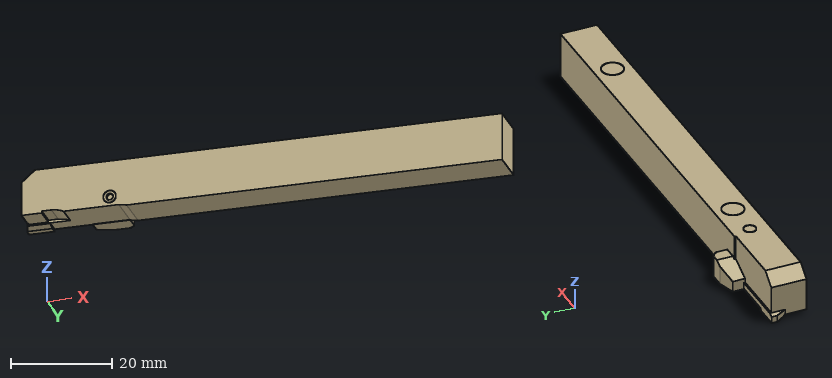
import cadquery as cq

total_length = 100.0
shank_width = 8.0
shank_height = 10.0

nose_x = 0.8
nose_bevel_length = 2.8
nose_bevel_height = 2.4
relief_height = 0.3
relief_end_x = 20.9
relief_ramp_length = 1.6
back_recess_depth = 0.3
back_recess_end_x = 17.6

insert_length = 5.3
insert_width = 3.3
insert_drop = 0.2
insert_top_z = 1.7
insert_top_bevel = 0.4
edge_width = 1.2
flank_rise = 0.6
flat_bottom_width = 1.6

clearance_height = 0.5
clearance_length = 5.0
scallop_height = 0.9
scallop_flat_end_x = 7.0
scallop_end_x = 9.5
scallop_mid = (8.4, 0.7)

block_start_x = 13.2
block_length = 7.8
block_depth = 3.5
block_bottom_z = 0.2
block_top_z = 5.0
block_nose_z = 2.6
block_slope_length = 5.1
block_nose_depth = 2.4
block_taper_length = 3.7
block_corner = 1.0

screw_x = 19.0
screw_z = 2.3
screw_diameter = 2.6
socket_diameter = 1.4
socket_depth = 0.6
plug_y = shank_width / 2
plug_diameter = 4.6
plug_xs = (27.0, 84.0)
face_recess = 0.1


def prism_along_y(outline, y_start, y_end):
    """Extrude an XZ outline from y_start to y_end."""
    plane = cq.Workplane("XZ", origin=(0, y_start, 0))
    return plane.polyline(outline).close().extrude(y_start - y_end)


def prism_along_z(outline, z_start, z_end):
    """Extrude an XY outline from z_start to z_end."""
    plane = cq.Workplane("XY", origin=(0, 0, z_start))
    return plane.polyline(outline).close().extrude(z_end - z_start)


def make_shank():
    outline = [
        (nose_x, relief_height),
        (relief_end_x, relief_height),
        (relief_end_x + relief_ramp_length, 0),
        (total_length, 0),
        (total_length, shank_height),
        (nose_x + nose_bevel_length, shank_height),
        (nose_x, shank_height - nose_bevel_height),
    ]
    return prism_along_y(outline, 0, shank_width)


def make_back_recess():
    """Shallow step along the back of the head, above the insert."""
    size = (back_recess_end_x, back_recess_depth, shank_height - insert_top_z)
    corner = (0, shank_width - back_recess_depth, insert_top_z)
    return cq.Workplane("XY").box(*size, centered=False).translate(corner)


def make_head_clearance():
    """Scalloped relief under the head, in front of the insert."""
    return (
        cq.Workplane("XZ")
        .moveTo(0, 0)
        .lineTo(0, clearance_height)
        .lineTo(clearance_length, clearance_height)
        .lineTo(clearance_length, scallop_height)
        .lineTo(scallop_flat_end_x, scallop_height)
        .threePointArc(scallop_mid, (scallop_end_x, relief_height))
        .lineTo(scallop_end_x, 0)
        .close()
        .extrude(insert_width - shank_width)
    )


def make_insert():
    """Insert body: the common volume of its side, plan and end outlines."""
    front_y = shank_width - insert_width
    side = prism_along_y(
        [
            (0, -insert_drop),
            (insert_length, -insert_drop),
            (insert_length, insert_top_z),
            (nose_x, insert_top_z),
            (0, insert_top_z - insert_top_bevel),
        ],
        front_y,
        shank_width,
    )
    plan = prism_along_z(
        [
            (0, shank_width),
            (0, shank_width - edge_width),
            (nose_x, front_y),
            (insert_length, front_y),
            (insert_length, shank_width),
        ],
        -insert_drop,
        insert_top_z,
    )
    end = (
        cq.Workplane("YZ")
        .polyline(
            [
                (shank_width, -insert_drop),
                (shank_width - flat_bottom_width, -insert_drop),
                (front_y, flank_rise - insert_drop),
                (front_y, insert_top_z),
                (shank_width, insert_top_z),
            ]
        )
        .close()
        .extrude(insert_length)
    )
    return side.intersect(plan).intersect(end)


def make_block():
    """Nozzle block: sloped front top, tapered back and bevelled rear corner."""
    end_x = block_start_x + block_length
    root_y = shank_width - back_recess_depth
    back_y = shank_width + block_depth
    plan = prism_along_z(
        [
            (block_start_x, root_y),
            (end_x, root_y),
            (end_x, back_y - block_corner),
            (end_x - block_corner, back_y),
            (block_start_x + block_taper_length, back_y),
            (block_start_x, shank_width + block_nose_depth),
        ],
        block_bottom_z,
        block_top_z,
    )
    side = prism_along_y(
        [
            (block_start_x, block_bottom_z),
            (end_x, block_bottom_z),
            (end_x, block_top_z),
            (block_start_x + block_slope_length, block_top_z),
            (block_start_x, block_nose_z),
        ],
        root_y,
        back_y,
    )
    return plan.intersect(side)


def top_recess(x, diameter):
    """Round recess in the top face, on the shank centreline."""
    plane = cq.Workplane("XY", origin=(x, plug_y, shank_height))
    return plane.circle(diameter / 2).extrude(-face_recess)


def front_recess(diameter, depth):
    """Round recess in the front face at the screw position."""
    plane = cq.Workplane("XZ", origin=(screw_x, 0, screw_z))
    return plane.circle(diameter / 2).extrude(-depth)


result = make_shank().cut(make_back_recess()).cut(make_head_clearance())
result = result.union(make_insert()).union(make_block())

for plug_x in plug_xs:
    result = result.cut(top_recess(plug_x, plug_diameter))
result = result.cut(top_recess(screw_x, screw_diameter))

result = result.cut(front_recess(screw_diameter, face_recess))
result = result.cut(front_recess(socket_diameter, socket_depth))